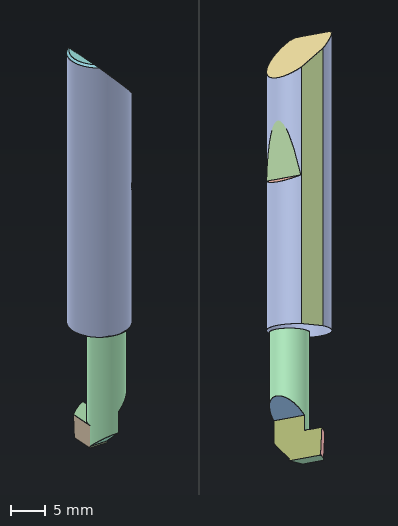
import cadquery as cq
import math

total_length = 63.5
shank_radius = 4.75
shank_bottom = 19.05

rim_width = 0.4
rim_height = 0.3
bevel_start_y = -3.0

flat_distance = 4.45
flat_direction = 155

notch_top = 49.35
notch_deepest = 41.1
notch_bottom = 40.3
notch_depth = 1.3

neck_radius = 2.9
neck_x = shank_radius - neck_radius
neck_bevel_width = neck_radius
neck_bevel_low = 0.3
neck_bevel_high = 2.9

rake_y = 0.1
rake_clearance_top = 6.35
tip_top_x = -4.4
tip_bottom_x = -4.1
tip_corner = 0.2
tip_height = 4.1
back_top_x = -2.4
back_bottom_x = -2.15
back_height = 3.75
relief_bulge = 0.4


def along_x(points):
    """Prism with a (Y, Z) outline, running right across the bar."""
    half_width = 2 * shank_radius
    return cq.Workplane("YZ").polyline(points).close().extrude(half_width, both=True)


def make_shank():
    rim_radius = shank_radius - rim_width
    rim_z = total_length - rim_height
    half_profile = [
        (0, shank_bottom),
        (shank_radius, shank_bottom),
        (shank_radius, rim_z),
        (rim_radius, total_length),
        (0, total_length),
    ]
    shank = cq.Workplane("XZ").polyline(half_profile).close().revolve(360, (0, 0), (0, 1))

    bevel_end_y = 2 * shank_radius
    bevel_end_z = total_length - (bevel_end_y - bevel_start_y)
    shank = shank.cut(along_x([
        (bevel_start_y, total_length),
        (bevel_end_y, total_length),
        (bevel_end_y, bevel_end_z),
    ]))

    flat_cutter = (
        cq.Workplane("XY")
        .box(shank_radius, 2 * shank_radius, total_length, centered=(False, True, False))
        .translate((flat_distance, 0, 0))
        .rotate((0, 0, 0), (0, 0, 1), flat_direction)
    )
    notch = along_x([
        (shank_radius, notch_top),
        (shank_radius - notch_depth, notch_deepest),
        (shank_radius, notch_bottom),
    ])
    return shank.cut(flat_cutter).cut(notch)


def make_neck():
    neck = cq.Workplane("XY").center(neck_x, 0).circle(neck_radius).extrude(shank_bottom)

    rake_clearance = along_x([
        (rake_y, 0),
        (shank_radius, 0),
        (shank_radius, rake_clearance_top + shank_radius - rake_y),
        (rake_y, rake_clearance_top),
    ])
    slope = (neck_bevel_high - neck_bevel_low) / neck_bevel_width
    heel_bevel = (
        cq.Workplane("XZ")
        .polyline([
            (neck_x, 0),
            (neck_x, neck_bevel_low),
            (2 * shank_radius, neck_bevel_low + slope * (2 * shank_radius - neck_x)),
            (2 * shank_radius, 0),
        ])
        .close()
        .extrude(shank_radius, both=True)
    )
    return neck.cut(rake_clearance).cut(heel_bevel)


def head_outline(plane, tip_x, back_x):
    """Add the head's plan outline, with a convex relief from rake face to back."""
    back_y = -neck_radius
    chord_x = tip_x - back_x
    chord_y = rake_y - back_y
    chord = math.hypot(chord_x, chord_y)
    relief_middle = (
        (tip_x + back_x) / 2 - relief_bulge * chord_y / chord,
        (rake_y + back_y) / 2 - relief_bulge * chord_x / chord,
    )
    return (
        plane.moveTo(neck_x, rake_y)
        .lineTo(tip_x, rake_y)
        .threePointArc(relief_middle, (back_x, back_y))
        .lineTo(neck_x, back_y)
        .close()
    )


def make_head():
    bottom = head_outline(cq.Workplane("XY"), tip_bottom_x, back_bottom_x)
    top = head_outline(bottom.workplane(offset=tip_height), tip_top_x, back_top_x)
    head = top.loft(ruled=True)

    top_slope = along_x([
        (rake_y, tip_height),
        (-neck_radius, tip_height),
        (-neck_radius, back_height),
    ])
    corner_bevel = (
        cq.Workplane("XZ")
        .polyline([
            (tip_bottom_x - tip_corner, 0),
            (tip_bottom_x + tip_corner, 0),
            (tip_bottom_x - tip_corner, 2 * tip_corner),
        ])
        .close()
        .extrude(shank_radius, both=True)
    )
    return head.cut(top_slope).cut(corner_bevel)


result = make_shank().union(make_neck()).union(make_head())